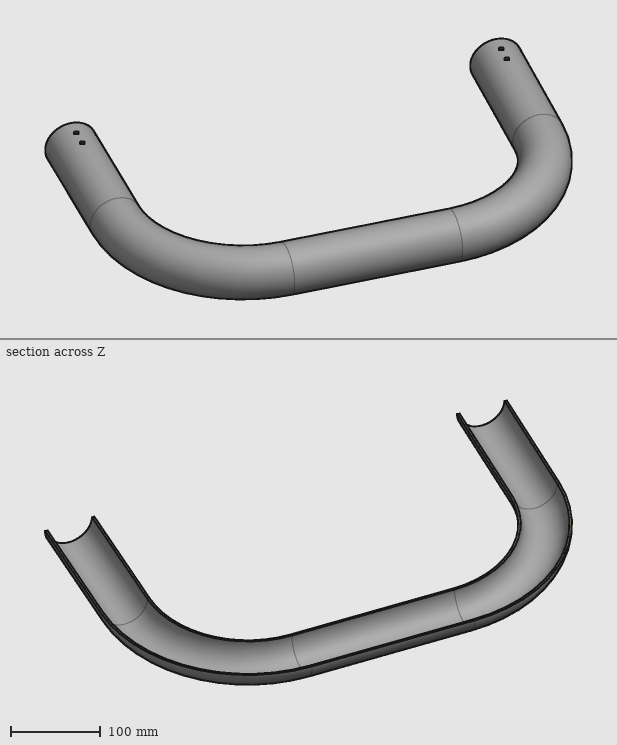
import cadquery as cq
import math

overall_x = 330.5
overall_y = 560.0

tube_diameter = 60.5
wall = 3.5
bend_radius = 149.5
splay_angle = 0.6

hole_diameter = 5.5
hole_distances = (19.5, 40.0)

tube_radius = tube_diameter / 2
splay_sin = math.sin(math.radians(splay_angle))
splay_cos = math.cos(math.radians(splay_angle))

bridge_x = overall_x - tube_radius
end_x = tube_radius * splay_sin
end_y = overall_y / 2 - tube_radius * splay_cos
bend_center_x = bridge_x - bend_radius
bend_end_x = bend_center_x + bend_radius * splay_sin
bend_end_y = end_y - (bend_end_x - end_x) * splay_sin / splay_cos
bend_center_y = bend_end_y - bend_radius * splay_cos
mid_bend_angle = math.radians((90 - splay_angle) / 2)
bend_mid_x = bend_center_x + bend_radius * math.cos(mid_bend_angle)
bend_mid_y = bend_center_y + bend_radius * math.sin(mid_bend_angle)


def make_rod(radius):
    """Solid round bar of the given radius along the whole centreline."""
    path = (
        cq.Workplane("XY")
        .moveTo(end_x, -end_y)
        .lineTo(bend_end_x, -bend_end_y)
        .threePointArc((bend_mid_x, -bend_mid_y), (bridge_x, -bend_center_y))
        .lineTo(bridge_x, bend_center_y)
        .threePointArc((bend_mid_x, bend_mid_y), (bend_end_x, bend_end_y))
        .lineTo(end_x, end_y)
    )
    end_plane = cq.Plane(
        origin=(end_x, -end_y, 0),
        xDir=(0, 0, 1),
        normal=(splay_cos, splay_sin, 0),
    )
    return cq.Workplane(end_plane).circle(radius).sweep(path)


def make_hole_cutters():
    """Vertical pins on the leg centrelines, reaching from mid-height up through the wall."""
    points = [
        (end_x + distance * splay_cos, side * (end_y - distance * splay_sin))
        for side in (-1, 1)
        for distance in hole_distances
    ]
    return cq.Workplane("XY").pushPoints(points).circle(hole_diameter / 2).extrude(tube_diameter)


result = make_rod(tube_radius).cut(make_rod(tube_radius - wall)).cut(make_hole_cutters())